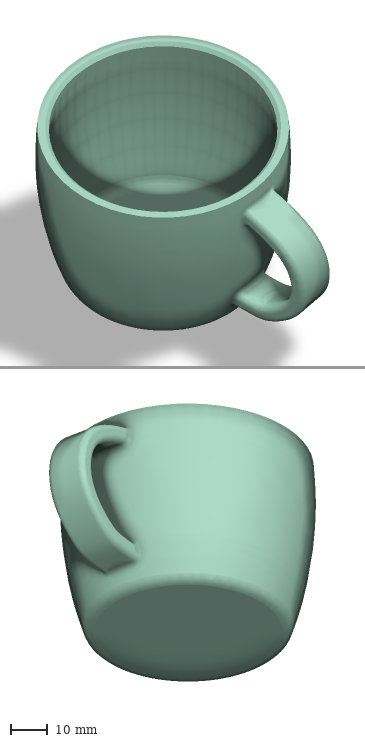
import cadquery as cq
import math

cup_height = 52.0
belly_diameter = 69.4
belly_radius = belly_diameter / 2
belly_height = 40.4
wall_curve_radius = 123.0
wall_thickness = 3.2
floor_thickness = wall_thickness
base_fillet = 3.05
floor_fillet = 3.05
lip_chamfer = 1.0

handle_width = 12.2
handle_thickness = 4.9
handle_edge_fillet = 1.6
root_fillet = 1.3
handle_embed = 4.5
root_reach = 3.6
upper_root = (35.2, 43.8)
lower_root = (31.3, 9.2)
handle_bends = [(42.9, 40.9), (49.7, 35.7), (52.6, 26.6), (50.0, 18.3), (42.55, 11.3)]
upper_direction = (1.0, -0.25)
lower_direction = (-1.0, -0.05)


def wall_radius(z, inset):
    """Radius at height z of the barrel curve, moved inward by inset."""
    curve_radius = wall_curve_radius - inset
    sag = curve_radius - math.sqrt(curve_radius**2 - (z - belly_height) ** 2)
    return belly_radius - inset - sag


def barrel(bottom, inset):
    """Solid of revolution under the barrel curve, from bottom to the rim."""
    middle = (bottom + cup_height) / 2
    return (
        cq.Workplane("XZ")
        .moveTo(0, bottom)
        .lineTo(wall_radius(bottom, inset), bottom)
        .threePointArc((wall_radius(middle, inset), middle), (wall_radius(cup_height, inset), cup_height))
        .lineTo(0, cup_height)
        .close()
        .revolve(360, (0, 0, 0), (0, 1, 0))
        .rotate((0, 0, 0), (0, 0, 1), 180)
    )


def make_lip_cutter():
    """Cone that bevels the inner edge of the rim."""
    bevel_bottom = cup_height - lip_chamfer
    bore_radius = wall_radius(bevel_bottom, wall_thickness)
    return (
        cq.Workplane("XY", origin=(0, 0, bevel_bottom))
        .circle(bore_radius)
        .workplane(offset=lip_chamfer)
        .circle(bore_radius + lip_chamfer)
        .loft(ruled=True)
    )


def extend(point, direction, distance):
    """Point moved along a direction in the XZ plane."""
    return (point[0] + distance * direction[0], point[1] + distance * direction[1])


def make_handle():
    """Rounded band whose ends run straight into the cup wall."""
    start = extend(upper_root, upper_direction, -handle_embed)
    end = extend(lower_root, lower_direction, handle_embed)
    path = cq.Workplane("XZ").spline(
        [start, *handle_bends, end], tangents=[upper_direction, lower_direction]
    )
    section_plane = cq.Plane(
        origin=(start[0], 0, start[1]),
        xDir=(0, 1, 0),
        normal=(upper_direction[0], 0, upper_direction[1]),
    )
    section = cq.Sketch().rect(handle_width, handle_thickness).vertices().fillet(handle_edge_fillet)
    return cq.Workplane(section_plane).placeSketch(section).sweep(path)


outer_body = barrel(0, 0).faces("<Z").edges().fillet(base_fillet)
cavity = barrel(floor_thickness, wall_thickness).faces("<Z").edges().fillet(floor_fillet)

body = outer_body.union(make_handle())
root_box = cq.selectors.BoxSelector(
    (lower_root[0] - root_reach, -handle_width, base_fillet),
    (upper_root[0] + root_reach, handle_width, cup_height - base_fillet),
    boundingbox=True,
)
body = body.edges(root_box).fillet(root_fillet)
result = body.cut(cavity).cut(make_lip_cutter())